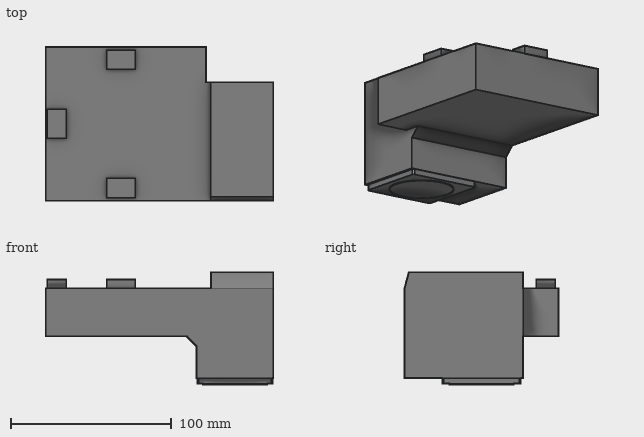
import cadquery as cq
import math

length = 142.0
width = 96.0
slab_thickness = 30.0
notch_start_x = 100.0
notch_width = 22.0
body_width = width - notch_width

foot_length = 48.0
foot_depth = 26.0
foot_chamfer = 6.2
foot_start_x = length - foot_length
foot_bottom = -slab_thickness - foot_depth

block_length = 39.0
block_height = 10.0
block_front_angle = 15.0

sole_height = 4.0
disc_diameter = 40.0
disc_height = 0.5
plate_length = 47.0
plate_width = 49.0
plate_height = sole_height - disc_height
plate_corner_chamfer = 1.0
plate_rear_margin = 1.5
plate_center_x = length - foot_length / 2
plate_center_y = body_width - plate_rear_margin - plate_width / 2

pad_long = 18.0
pad_short = 12.0
pad_height = 5.5
end_pad_margin = 1.0
side_pad_margin = 2.0
side_pad_center_x = 47.0


def make_slab():
    slab = cq.Workplane("XY").box(length, width, slab_thickness, centered=False)
    notch = cq.Workplane("XY").box(length - notch_start_x, notch_width, slab_thickness, centered=False)
    slab = slab.cut(notch.translate((notch_start_x, body_width, 0)))
    return slab.translate((0, 0, -slab_thickness))


def make_foot():
    """Foot profile in XZ, with a sloped transition to the underside of the slab."""
    return (
        cq.Workplane("XZ")
        .moveTo(foot_start_x - foot_chamfer, -slab_thickness)
        .lineTo(foot_start_x, -slab_thickness - foot_chamfer)
        .lineTo(foot_start_x, foot_bottom)
        .lineTo(length, foot_bottom)
        .lineTo(length, -slab_thickness)
        .close()
        .extrude(-body_width)
    )


def make_raised_block():
    """Block profile in YZ, swept along X to the right end."""
    lean = block_height * math.tan(math.radians(block_front_angle))
    return (
        cq.Workplane("YZ", origin=(length - block_length, 0, 0))
        .polyline([(0, 0), (body_width, 0), (body_width, block_height), (lean, block_height)])
        .close()
        .extrude(block_length)
    )


def make_sole():
    """Corner-chamfered plate below the foot, carrying a thin round disc."""
    plate = (
        cq.Workplane("XY", origin=(plate_center_x, plate_center_y, foot_bottom))
        .rect(plate_length, plate_width)
        .extrude(-plate_height)
        .edges("|Z")
        .chamfer(plate_corner_chamfer)
    )
    disc = (
        cq.Workplane("XY", origin=(plate_center_x, plate_center_y, foot_bottom - plate_height))
        .circle(disc_diameter / 2)
        .extrude(-disc_height)
    )
    return plate.union(disc)


def make_pad(center_x, center_y, size_x, size_y):
    return cq.Workplane("XY", origin=(center_x, center_y, 0)).rect(size_x, size_y).extrude(pad_height)


result = make_slab().union(make_foot()).union(make_raised_block()).union(make_sole())

result = result.union(make_pad(end_pad_margin + pad_short / 2, width / 2, pad_short, pad_long))
side_pad_offset = side_pad_margin + pad_short / 2
for pad_y in (side_pad_offset, width - side_pad_offset):
    result = result.union(make_pad(side_pad_center_x, pad_y, pad_long, pad_short))